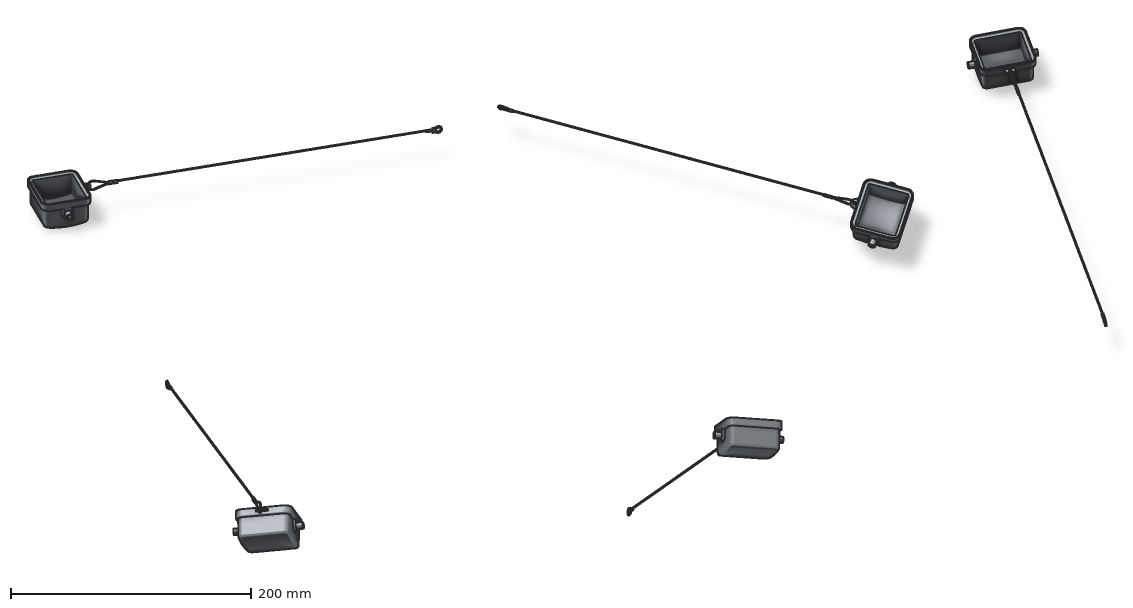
import cadquery as cq
import math

RIM_WIDTH = 48.3
RIM_DEPTH = 43.0
RIM_HEIGHT = 6.7
RIM_UNDERSIDE_FILLET = 1.0
RIM_CORNER = 6.5
RIM_OVERHANG = 1.8
CUP_WIDTH = RIM_WIDTH - 2 * RIM_OVERHANG
CUP_DEPTH = RIM_DEPTH - 2 * RIM_OVERHANG
CUP_CORNER = RIM_CORNER - RIM_OVERHANG
CUP_HEIGHT = 26.5
CUP_DRAFT = 1.0
BOTTOM_RADIUS = 71.0
BOTTOM_EDGE_FILLET = 3.0
WALL = 2.0
FLOOR = 3.2
CAVITY_CORNER = 1.8
FLOOR_FILLET = 1.0
LIP = 1.0
LEDGE_DROP = 1.5
LEDGE_FILLET = 1.0

PIN_SPAN = 59.5
PIN_DIAMETER = 5.7
PIN_Z = -11.5
PIN_BORE_DIAMETER = 3.2
PIN_BORE_DEPTH = (PIN_SPAN - RIM_WIDTH) / 2
LUG_RADIUS = 5.0
LUG_TAPER = 45.0

TOTAL_LENGTH = 355.0
TIP_Y = TOTAL_LENGTH - RIM_DEPTH / 2
CABLE_Z = -2.5
LOOP_Z = -3.0
CABLE_DIAMETER = 1.0
CABLE_RADIUS = CABLE_DIAMETER / 2
LOOP_RADIUS = 4.3
LOOP_Y = 29.0
CRIMP_START = 43.0
CRIMP_LENGTH = 7.8
CRIMP_GAP = 1.0
CRIMP_WIDTH = 1.8
CRIMP_HEIGHT = 3.2
WAIST_HEIGHT = 2.0

TAB_LENGTH = 5.7
TAB_WIDTH = 10.5
TAB_THICKNESS = 1.5
TAB_TIP_RADIUS = 4.3
TAB_HOLE_DIAMETER = 2.5

RING_DIAMETER = 6.5
RING_HOLE_DIAMETER = 4.0
PLATE_THICKNESS = 0.7
NECK_HEIGHT = 4.5
NECK_LENGTH = 2.0
BARREL_DIAMETER = 2.0
BARREL_LENGTH = 5.0
RING_Y = TIP_Y - RING_DIAMETER / 2
NECK_START = RING_Y - RING_DIAMETER / 2 - NECK_LENGTH
BARREL_START = NECK_START - BARREL_LENGTH


def tapered_block(width, depth, corner, height, draft=0):
    """Block hanging from Z = 0 with rounded corners, narrowing downwards by the draft angle."""
    return (
        cq.Workplane("XY")
        .sketch()
        .rect(width, depth)
        .vertices()
        .fillet(corner)
        .finalize()
        .extrude(-height, taper=draft)
    )


def make_lug():
    """Tapered lug on the +X wall, hanging from the rim and flush with its side."""
    root_depth = WALL / 2
    root_radius = LUG_RADIUS + root_depth * math.tan(math.radians(LUG_TAPER))
    straight = RIM_HEIGHT + PIN_Z
    return (
        cq.Workplane("YZ")
        .workplane(offset=CUP_WIDTH / 2 - root_depth)
        .center(0, PIN_Z - straight / 2)
        .slot2D(2 * root_radius - straight, 2 * root_radius, 90)
        .extrude(root_depth + RIM_OVERHANG, taper=LUG_TAPER)
    )


def make_pin():
    """Pivot pin on the +X side, bored in its end."""
    pin = cq.Workplane("YZ").center(0, PIN_Z).circle(PIN_DIAMETER / 2).extrude(PIN_SPAN / 2)
    return pin.faces(">X").workplane().hole(PIN_BORE_DIAMETER, PIN_BORE_DEPTH)


def crowned_block(radius, lowest):
    """Long cylinder along X whose lowest line lies at the given height."""
    return (
        cq.Workplane("YZ")
        .center(0, lowest + radius)
        .circle(radius)
        .extrude(RIM_WIDTH, both=True)
    )


def make_shell():
    """Drafted outside of the cup with its crowned, rounded-over bottom."""
    shell = tapered_block(CUP_WIDTH, CUP_DEPTH, CUP_CORNER, CUP_HEIGHT, CUP_DRAFT)
    shell = shell.intersect(crowned_block(BOTTOM_RADIUS, -CUP_HEIGHT))
    return shell.faces("<Z").edges().fillet(BOTTOM_EDGE_FILLET)


def make_cavity():
    """Space inside the cup, its floor parallel to the bottom."""
    cavity = tapered_block(CUP_WIDTH - 2 * WALL, CUP_DEPTH - 2 * WALL, CAVITY_CORNER, CUP_HEIGHT - FLOOR)
    cavity = cavity.intersect(crowned_block(BOTTOM_RADIUS - FLOOR, FLOOR - CUP_HEIGHT))
    return cavity.faces("<Z").edges().fillet(FLOOR_FILLET)


def make_cup():
    rim = tapered_block(RIM_WIDTH, RIM_DEPTH, RIM_CORNER, RIM_HEIGHT)
    rim = rim.faces("<Z").edges().fillet(RIM_UNDERSIDE_FILLET)
    ledge = tapered_block(RIM_WIDTH - 2 * LIP, RIM_DEPTH - 2 * LIP, RIM_CORNER - LIP, LEDGE_DROP)
    ledge = ledge.faces("<Z").edges().fillet(LEDGE_FILLET)
    pivot = make_lug().union(make_pin())
    cup = make_shell().union(rim).union(pivot).union(pivot.mirror("YZ"))
    return cup.cut(make_cavity()).cut(ledge)


def make_tab():
    """Flat eye on the back of the rim that holds the cable loop."""
    root_y = RIM_DEPTH / 2
    tip_y = root_y + TAB_LENGTH
    centre_y = tip_y - TAB_TIP_RADIUS
    hole_y = LOOP_Y - LOOP_RADIUS + CABLE_RADIUS / 2 - TAB_HOLE_DIAMETER / 2
    hole = (
        cq.Workplane("XY")
        .workplane(offset=LOOP_Z - TAB_THICKNESS / 2)
        .center(0, hole_y)
        .circle(TAB_HOLE_DIAMETER / 2)
        .extrude(TAB_THICKNESS)
    )
    diagonal = TAB_TIP_RADIUS * math.sqrt(0.5)
    return (
        cq.Workplane("XY")
        .workplane(offset=LOOP_Z - TAB_THICKNESS / 2)
        .moveTo(-TAB_WIDTH / 2, root_y - LIP / 2)
        .lineTo(-TAB_WIDTH / 2, root_y)
        .lineTo(-diagonal, centre_y + diagonal)
        .threePointArc((0, tip_y), (diagonal, centre_y + diagonal))
        .lineTo(TAB_WIDTH / 2, root_y)
        .lineTo(TAB_WIDTH / 2, root_y - LIP / 2)
        .close()
        .extrude(TAB_THICKNESS)
        .cut(hole)
    )


def make_loop():
    """Teardrop of cable lying in the YZ plane, its point held in the crimp."""
    apex_y = CRIMP_START + CABLE_DIAMETER
    lean = math.acos(LOOP_RADIUS / (apex_y - LOOP_Y))
    tangent_y = LOOP_Y + LOOP_RADIUS * math.cos(lean)
    tangent_z = LOOP_RADIUS * math.sin(lean)
    path = (
        cq.Workplane("YZ")
        .moveTo(apex_y, LOOP_Z)
        .lineTo(tangent_y, LOOP_Z + tangent_z)
        .threePointArc((LOOP_Y - LOOP_RADIUS, LOOP_Z), (tangent_y, LOOP_Z - tangent_z))
        .lineTo(apex_y, LOOP_Z)
    )
    start = cq.Plane(
        origin=(0, apex_y, LOOP_Z),
        xDir=(1, 0, 0),
        normal=(0, tangent_y - apex_y, tangent_z),
    )
    return cq.Workplane(start).circle(CABLE_RADIUS).sweep(path)


def along_y(start_y, z):
    """Workplane facing +Y at the given Y and Z."""
    return cq.Workplane(cq.Plane(origin=(0, start_y, z), xDir=(-1, 0, 0), normal=(0, 1, 0)))


def make_crimps():
    """Oval crimp that closes the loop: two swaged sleeves joined by a lower waist."""
    sleeve_length = (CRIMP_LENGTH - CRIMP_GAP) / 2
    crimps = along_y(CRIMP_START, LOOP_Z).ellipse(CRIMP_WIDTH / 2, WAIST_HEIGHT / 2).extrude(CRIMP_LENGTH)
    for start_y in (CRIMP_START, CRIMP_START + sleeve_length + CRIMP_GAP):
        sleeve = along_y(start_y, LOOP_Z).ellipse(CRIMP_WIDTH / 2, CRIMP_HEIGHT / 2)
        crimps = crimps.union(sleeve.extrude(sleeve_length))
    return crimps


def make_cable():
    """Straight cable from inside the crimp to inside the terminal barrel."""
    start_y = CRIMP_START + CRIMP_LENGTH / 2
    end_y = BARREL_START + BARREL_LENGTH / 2
    return along_y(start_y, CABLE_Z).circle(CABLE_RADIUS).extrude(end_y - start_y)


def make_terminal():
    """Flat ring with a neck, offset to +X, and a barrel gripping the cable."""
    plate = (
        cq.Workplane("YZ")
        .center(RING_Y, LOOP_Z)
        .circle(RING_DIAMETER / 2)
        .extrude(PLATE_THICKNESS)
    )
    neck = (
        cq.Workplane("XY")
        .box(PLATE_THICKNESS, RING_Y - NECK_START, NECK_HEIGHT, centered=(False, False, True))
        .translate((0, NECK_START, LOOP_Z))
    )
    barrel = along_y(BARREL_START, LOOP_Z).circle(BARREL_DIAMETER / 2).extrude(BARREL_LENGTH)
    hole = (
        cq.Workplane("YZ")
        .center(RING_Y, LOOP_Z)
        .circle(RING_HOLE_DIAMETER / 2)
        .extrude(PLATE_THICKNESS)
    )
    return plate.union(neck).cut(hole).union(barrel)


result = make_cup()
for piece in (make_tab(), make_loop(), make_crimps(), make_cable(), make_terminal()):
    result = result.union(piece)